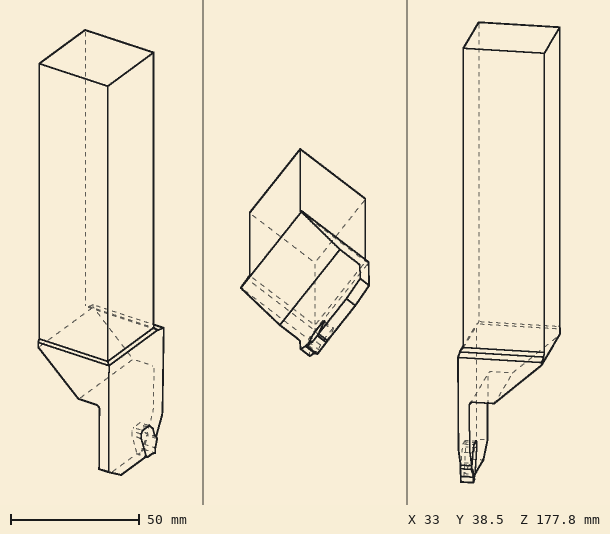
import cadquery as cq

TOTAL_HEIGHT = 177.8
SHANK_SIZE = 32.0
HEAD_WIDTH = 33.0

NECK_TOP_Z = 55.3
NECK_BOTTOM_Z = 54.0

SLOPE_TOP_Z = 52.0
BLOCK_BOTTOM_Z = 34.8
BLOCK_CORNER_X = 18.8
BLADE_THICKNESS = 4.5
BLADE_X = HEAD_WIDTH - BLADE_THICKNESS
BLADE_ROOT_RADIUS = 1.5

HEAD_FRONT_TOP_Y = -0.7
HEAD_FRONT_Y = -1.0
HEAD_BACK_Y = 37.5
LEDGE_OUTER_Z = 53.0
LEDGE_INNER_Z = 53.9
LEDGE_INNER_Y = 33.5
BLADE_BOTTOM_Z = 1.5
FRONT_CHAMFER_Z = 6.8
FRONT_CHAMFER_Y = 7.6
NOSE_START = (36.6, 16.5)
NOSE_MIDDLE = (36.5, 15.3)
NOSE_END = (36.0, 13.9)
NOSE_TIP = (32.2, 7.1)
SEAT_EXIT_Y = 25.2

TIP_OVERHANG = 0.5
TIP_CORNER = (31.6, 0.0)
TIP_HEEL_Y = 29.2
TIP_HEEL_Z = 0.7
TIP_SHOULDER = (31.6, 2.3)
TIP_TOP = (32.9, 5.9)
TIP_HEEL_CORNER = (26.0, TIP_HEEL_Z)
TAIL_FRONT_LOW = (21.7, 11.2)
TAIL_FRONT_HIGH = (21.7, 13.2)
TAIL_TOP_FRONT = (22.8, 14.2)
TAIL_TOP_BACK = (27.4, 14.2)
TAIL_BACK = (29.9, 11.7)
RAKE_ROOT = (31.1, 7.8)


def make_shank():
    """Square bar standing on the head."""
    height = TOTAL_HEIGHT - NECK_BOTTOM_Z
    bar = cq.Workplane("XY").box(SHANK_SIZE, SHANK_SIZE, height, centered=False)
    return bar.translate((0, 0, NECK_BOTTOM_Z))


def make_head():
    """Intersection of the outline along X with the outline along Y."""
    along_x = (
        cq.Workplane("YZ")
        .moveTo(0, NECK_TOP_Z)
        .lineTo(HEAD_FRONT_TOP_Y, NECK_BOTTOM_Z)
        .lineTo(HEAD_FRONT_Y, FRONT_CHAMFER_Z)
        .lineTo(FRONT_CHAMFER_Y, BLADE_BOTTOM_Z)
        .lineTo(SEAT_EXIT_Y, BLADE_BOTTOM_Z)
        .lineTo(*NOSE_TIP)
        .lineTo(*NOSE_END)
        .threePointArc(NOSE_MIDDLE, NOSE_START)
        .lineTo(HEAD_BACK_Y, LEDGE_OUTER_Z)
        .lineTo(LEDGE_INNER_Y, LEDGE_INNER_Z)
        .lineTo(SHANK_SIZE, NECK_TOP_Z)
        .close()
        .extrude(HEAD_WIDTH)
    )
    along_y = (
        cq.Workplane("XZ", origin=(0, HEAD_FRONT_Y, 0))
        .moveTo(0, NECK_TOP_Z)
        .lineTo(0, SLOPE_TOP_Z)
        .lineTo(BLOCK_CORNER_X, BLOCK_BOTTOM_Z)
        .lineTo(BLADE_X - BLADE_ROOT_RADIUS, BLOCK_BOTTOM_Z)
        .radiusArc((BLADE_X, BLOCK_BOTTOM_Z - BLADE_ROOT_RADIUS), BLADE_ROOT_RADIUS)
        .lineTo(BLADE_X, 0)
        .lineTo(HEAD_WIDTH, 0)
        .lineTo(HEAD_WIDTH, NECK_BOTTOM_Z)
        .lineTo(SHANK_SIZE, NECK_TOP_Z)
        .close()
        .extrude(HEAD_FRONT_Y - HEAD_BACK_Y)
    )
    return along_x.intersect(along_y)


def make_insert():
    """Elongated cutting insert whose tip stands proud of the blade side."""
    body = (
        cq.Workplane("YZ", origin=(BLADE_X, 0, 0))
        .polyline([
            TIP_CORNER,
            (TIP_HEEL_Y, TIP_HEEL_Z),
            TIP_HEEL_CORNER,
            (SEAT_EXIT_Y, BLADE_BOTTOM_Z),
            TAIL_FRONT_LOW,
            TAIL_FRONT_HIGH,
            TAIL_TOP_FRONT,
            TAIL_TOP_BACK,
            TAIL_BACK,
            RAKE_ROOT,
            NOSE_TIP,
            TIP_TOP,
            TIP_SHOULDER,
        ])
        .close()
        .extrude(BLADE_THICKNESS)
    )
    tip = (
        cq.Workplane("YZ", origin=(BLADE_X - TIP_OVERHANG, 0, 0))
        .polyline([TIP_CORNER, (TIP_HEEL_Y, TIP_HEEL_Z), TIP_TOP, TIP_SHOULDER])
        .close()
        .extrude(BLADE_THICKNESS + TIP_OVERHANG)
    )
    return body.union(tip)


insert = make_insert()
holder = make_shank().union(make_head()).cut(insert)

result = cq.Compound.makeCompound([holder.val(), insert.val()])